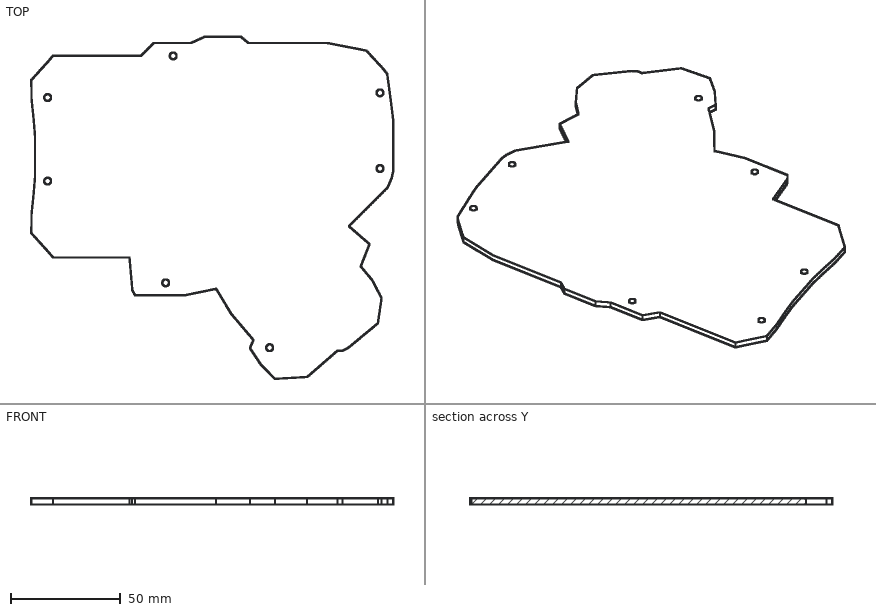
import cadquery as cq


plate_length = 165.07
plate_depth = 155.99
plate_thickness = 3.0

left_half_width = 46.0
shelf_y = 51.77
crest_y = 54.64
tab_bottom_y = -63.27
thumb_bottom_y = crest_y - plate_depth

screw_diameter = 3.0
left_screw_x = 7.52
left_screw_y = 26.92
left_screw_pitch = 38.1
right_screw_x = 158.98
right_screw_y = 29.05
right_screw_pitch = 34.45
upper_screw = (64.73, 45.9)
tab_screw = (61.32, -57.52)
thumb_screw = (108.71, -87.10)

waist_depth = 1.73
left_upper_half = [
    (waist_depth, 9.0),
    (1.1, 16.7),
    (0.15, 26.0),
    (0.0, 34.85),
    (7.5, 43.1),
    (9.95, left_half_width),
]

upper_edge = [
    (50.07, left_half_width),
    (55.82, shelf_y),
    (72.71, shelf_y),
    (79.07, crest_y),
    (95.57, crest_y),
    (99.07, shelf_y),
    (135.26, shelf_y),
]

right_edge = [
    (152.77, 48.35),
    (160.28, 40.23),
    (162.32, 37.66),
    (164.29, 22.98),
    (plate_length, 16.43),
    (plate_length, -6.5),
    (164.4, -9.7),
    (162.5, -14.1),
    (144.84, -31.73),
]

thumb_outline = [
    (154.27, -39.90),
    (150.26, -50.04),
    (155.58, -56.45),
    (159.77, -64.55),
    (158.06, -75.99),
    (144.67, -87.08),
    (141.9, -88.58),
    (139.51, -88.58),
    (125.82, -100.48),
    (111.10, thumb_bottom_y),
    (104.71, -94.9),
    (99.67, -87.34),
    (101.24, -83.56),
    (91.17, -71.72),
    (84.29, -60.32),
]

lower_tab = [
    (69.93, tab_bottom_y),
    (47.32, tab_bottom_y),
    (46.06, -60.80),
    (44.75, -left_half_width),
]


def mirrored_across_x_axis(points):
    """Reflect points across Y = 0 and reverse them to keep the winding."""
    return [(x, -y) for x, y in reversed(points)]


def make_plate():
    outline = left_upper_half + upper_edge + right_edge + thumb_outline + lower_tab
    outline += mirrored_across_x_axis(left_upper_half)
    return cq.Workplane("XY").polyline(outline).close().extrude(plate_thickness)


def screw_positions():
    left_pair = [(left_screw_x, left_screw_y - i * left_screw_pitch) for i in range(2)]
    right_pair = [(right_screw_x, right_screw_y - i * right_screw_pitch) for i in range(2)]
    return left_pair + right_pair + [upper_screw, tab_screw, thumb_screw]


def cut_screw_holes(plate):
    top_face = plate.faces(">Z").workplane(origin=(0, 0, plate_thickness))
    return top_face.pushPoints(screw_positions()).hole(screw_diameter)


result = cut_screw_holes(make_plate())